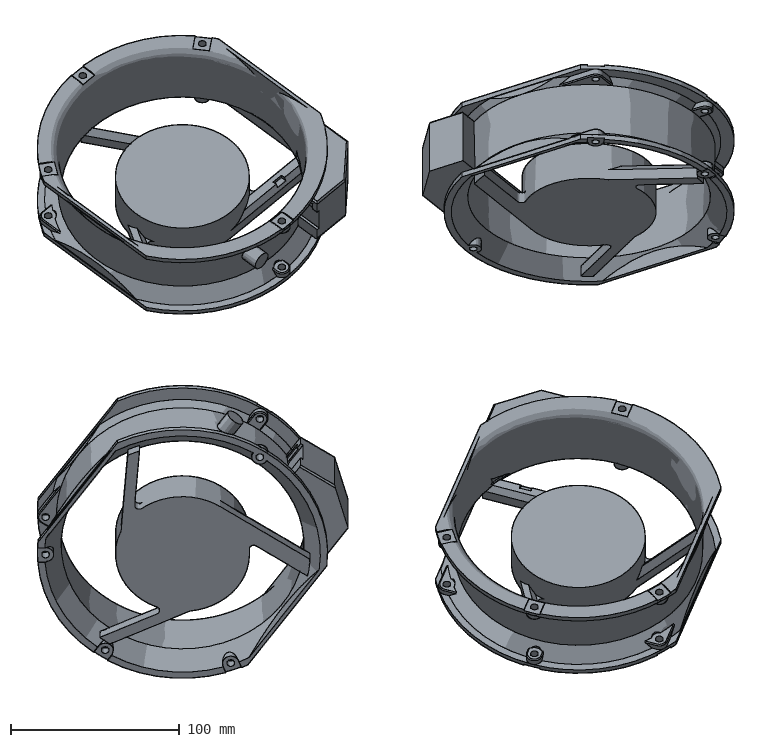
import cadquery as cq
import math

FLANGE_RADIUS = 86.0
WIDTH_Y = 150.5
HEIGHT = 51.0
FLANGE_THICKNESS = 3.1
TUBE_HALF_WIDTH = 74.8
BORE_HALF_WIDTH = 73.0

LOWER_FLARE_RADIUS = 81.7
TUBE_BOTTOM_RADIUS = 73.8
TUBE_BOTTOM_Z = 11.4
TUBE_TOP_RADIUS = TUBE_HALF_WIDTH
TUBE_TOP_Z = 43.9
UPPER_FLARE_RADIUS = 78.1

OUTLET_RADIUS = 81.7
THROAT_BOTTOM_RADIUS = 71.9
THROAT_BOTTOM_Z = 10.5
THROAT_TOP_RADIUS = 73.5
THROAT_TOP_Z = 44.5
INLET_RADIUS = 80.2

BOLT_CIRCLE_RADIUS = 81.2
BOLT_ANGLES = (0.0, 125.0, 180.0, 235.0)
BOLT_HOLE_DIAMETER = 4.5
BOSS_RADIUS = FLANGE_RADIUS - BOLT_CIRCLE_RADIUS
BOSS_HEIGHT = 7.2
BOSS_EDGE = 0.7
BOSS_REACH = 41.3
SEAT_INNER_RADIUS = 76.4
SEAT_WIDTH = 10.0
RIM_OVERRUN = 1.7
SEAT_DEPTH = 0.9

HUB_RADIUS = 39.7
HUB_HEIGHT = 24.6
HUB_EDGE_WIDTH = 1.7
HUB_EDGE_DROP = 0.5
SPOKE_HEIGHT = 11.2
SPOKE_SIDE_HEIGHT = 6.9
SPOKE_END_RADIUS = 75.7
SPOKE_FOOT_RADIUS = 2.5
CABLE_SPOKE_INNER = 29.2
CABLE_SPOKE_SLOPE = 2.4
THIN_SPOKE_INNER = 30.8
THIN_SPOKE_OUTER = 37.5
THIN_SPOKE_ANGLES = (120.0, 240.0)
CLIP_SIZE = (4.0, 7.0, 2.0)
CLIP_CENTER = (36.8, 45.0)

WIRE_X_MIN = 31.6
WIRE_X_MAX = 43.0
WIRE_BOTTOM_Z = 11.7
WIRE_TOP_Z = 16.5
WIRE_RECESS_RADIUS = 73.0

BOX_X_MIN = 41.3
BOX_X_MAX = 84.3
BOX_Y_MIN = 27.2
BOX_CORNER_X = 64.7
BOX_CORNER_Y = 51.6
BOX_Y_MAX = 74.6
BOX_BOTTOM_Z = 11.4
BOX_TOP_Z = 45.4
BOX_EDGE = 1.0
BAND_BOTTOM_Z = 20.6
BAND_TOP_Z = 36.8
BAND_DEPTH = 1.7
LATCH_X_MAX = 80.3
LATCH_TOP_Z = 41.5
LATCH_DEPTH = 0.9
GLAND_RADIUS = 5.5
GLAND_Z = 28.7
GLAND_Y = -17.7
GLAND_X_MIN = 69.7
GLAND_X_MAX = 81.4


def box_between(x0, x1, y0, y1, z0, z1):
    return cq.Workplane("XY").box(x1 - x0, y1 - y0, z1 - z0, centered=False).translate((x0, y0, z0))


def slab(half_width):
    """Material limited to |y| <= half_width over the full frame."""
    return box_between(-FLANGE_RADIUS, FLANGE_RADIUS, -half_width, half_width, 0, HEIGHT)


def disc(radius, z0, z1, x=0.0, y=0.0):
    return cq.Workplane("XY", origin=(x, y, z0)).circle(radius).extrude(z1 - z0)


def frame_outside():
    """Tube with its flares, between two flanges cut by parallel flats."""
    upper_flange_z = HEIGHT - FLANGE_THICKNESS
    tube = (
        cq.Workplane("XZ")
        .moveTo(0, 0)
        .lineTo(LOWER_FLARE_RADIUS, 0)
        .lineTo(LOWER_FLARE_RADIUS, FLANGE_THICKNESS)
        .lineTo(TUBE_BOTTOM_RADIUS, TUBE_BOTTOM_Z)
        .lineTo(TUBE_TOP_RADIUS, TUBE_TOP_Z)
        .lineTo(UPPER_FLARE_RADIUS, upper_flange_z)
        .lineTo(UPPER_FLARE_RADIUS, HEIGHT)
        .lineTo(0, HEIGHT)
        .close()
        .revolve(360, (0, 0, 0), (0, 1, 0))
        .intersect(slab(TUBE_HALF_WIDTH))
    )
    flanges = disc(FLANGE_RADIUS, 0, FLANGE_THICKNESS).union(disc(FLANGE_RADIUS, upper_flange_z, HEIGHT))
    return tube.union(flanges.intersect(slab(WIDTH_Y / 2)))


def bore():
    """Air passage: conical outlet below, rounded bell inlet above."""
    inlet_width = INLET_RADIUS - THROAT_TOP_RADIUS
    inlet_height = HEIGHT - THROAT_TOP_Z
    diagonal = math.sqrt(0.5)
    inlet_middle = (INLET_RADIUS - inlet_width * diagonal, THROAT_TOP_Z + inlet_height * diagonal)
    return (
        cq.Workplane("XZ")
        .moveTo(0, 0)
        .lineTo(OUTLET_RADIUS, 0)
        .lineTo(THROAT_BOTTOM_RADIUS, THROAT_BOTTOM_Z)
        .lineTo(THROAT_TOP_RADIUS, THROAT_TOP_Z)
        .threePointArc(inlet_middle, (INLET_RADIUS, HEIGHT))
        .lineTo(0, HEIGHT)
        .close()
        .revolve(360, (0, 0, 0), (0, 1, 0))
        .intersect(slab(BORE_HALF_WIDTH))
    )


def bolt_center(angle):
    radians = math.radians(angle)
    return BOLT_CIRCLE_RADIUS * math.cos(radians), BOLT_CIRCLE_RADIUS * math.sin(radians)


def boss_wing(angle, z0, z1):
    """Boss whose sides run parallel to X and Y until they meet the tube."""
    x, y = bolt_center(angle)
    toward_x = -math.copysign(BOSS_REACH, x)
    across = BOSS_RADIUS * 2
    wing = disc(BOSS_RADIUS, z0, z1, x, y)
    along_x = cq.Workplane("XY").box(BOSS_REACH, across, z1 - z0, centered=(True, True, False))
    wing = wing.union(along_x.translate((x + toward_x / 2, y, z0)))
    if abs(y) > BOSS_RADIUS:
        toward_y = -math.copysign(BOSS_REACH, y)
        along_y = cq.Workplane("XY").box(across, BOSS_REACH, z1 - z0, centered=(True, True, False))
        wing = wing.union(along_y.translate((x, y + toward_y / 2, z0)))
        corner = cq.Workplane("XY").box(BOSS_REACH, BOSS_REACH, z1 - z0, centered=(True, True, False))
        wing = wing.union(corner.translate((x + toward_x / 2, y + toward_y / 2, z0)))
    return wing


def seat(angle, z0, depth):
    """Square pad area around a bolt hole, open to the flange rim."""
    length = FLANGE_RADIUS - SEAT_INNER_RADIUS + RIM_OVERRUN
    pad = cq.Workplane("XY").box(length, SEAT_WIDTH, depth, centered=(False, True, False))
    return pad.translate((SEAT_INNER_RADIUS, 0, z0)).rotate((0, 0, 0), (0, 0, 1), angle)


def terminal_box():
    """Five-sided box with a recessed band and a latch pocket."""
    body = (
        cq.Workplane("XY", origin=(0, 0, BOX_BOTTOM_Z))
        .moveTo(BOX_X_MIN, BOX_Y_MIN)
        .lineTo(BOX_X_MAX, BOX_Y_MIN)
        .lineTo(BOX_X_MAX, BOX_CORNER_Y)
        .lineTo(BOX_CORNER_X, BOX_Y_MAX)
        .lineTo(BOX_X_MIN, BOX_Y_MAX)
        .close()
        .extrude(BOX_TOP_Z - BOX_BOTTOM_Z)
        .faces(">Z")
        .edges()
        .chamfer(BOX_EDGE)
        .faces(">X")
        .edges("<Z")
        .chamfer(BOX_EDGE)
    )
    band = box_between(BOX_X_MIN, BOX_X_MAX, BOX_Y_MIN, BOX_Y_MIN + BAND_DEPTH, BAND_BOTTOM_Z, BAND_TOP_Z)
    latch = box_between(BOX_X_MIN, LATCH_X_MAX, BOX_Y_MIN, BOX_Y_MIN + LATCH_DEPTH, BAND_TOP_Z, LATCH_TOP_Z)
    return body.cut(band).cut(latch)


def cable_gland():
    """Round stub along X that grows out of the tube wall."""
    return (
        cq.Workplane("YZ", origin=(GLAND_X_MIN, GLAND_Y, GLAND_Z))
        .circle(GLAND_RADIUS)
        .extrude(GLAND_X_MAX - GLAND_X_MIN)
    )


def wire_recess():
    wedge = (
        cq.Workplane("XZ")
        .polyline([(WIRE_X_MIN, WIRE_BOTTOM_Z), (WIRE_X_MAX, WIRE_BOTTOM_Z), (WIRE_X_MIN, WIRE_TOP_Z)])
        .close()
        .extrude(-WIDTH_Y / 2)
    )
    return wedge.intersect(disc(WIRE_RECESS_RADIUS, 0, HEIGHT))


def spoke(inner, outer, crown):
    """Spoke along +Y, tangent-wise to the hub; crown lists the x values of its raised top."""
    section = [(inner, 0), (outer, 0), (outer, SPOKE_SIDE_HEIGHT)]
    section += [(x, SPOKE_HEIGHT) for x in crown]
    section += [(inner, SPOKE_SIDE_HEIGHT)]
    return cq.Workplane("XZ").polyline(section).close().extrude(-SPOKE_END_RADIUS)


def spoke_foot(inner):
    """Rounded web in the corner between the hub and a spoke's inner side."""
    arc_x = inner - SPOKE_FOOT_RADIUS
    arc_y = math.sqrt((HUB_RADIUS + SPOKE_FOOT_RADIUS) ** 2 - arc_x**2)
    hub_share = HUB_RADIUS / (HUB_RADIUS + SPOKE_FOOT_RADIUS)
    web = (
        cq.Workplane("XY")
        .moveTo(arc_x * hub_share, arc_y * hub_share)
        .lineTo(arc_x, arc_y)
        .lineTo(inner, arc_y)
        .lineTo(inner, 0)
        .close()
        .extrude(SPOKE_SIDE_HEIGHT)
    )
    return web.cut(disc(SPOKE_FOOT_RADIUS, 0, SPOKE_SIDE_HEIGHT, arc_x, arc_y))


def hub_and_spokes():
    cable_crown = (HUB_RADIUS - CABLE_SPOKE_SLOPE, CABLE_SPOKE_INNER + CABLE_SPOKE_SLOPE)
    cable_spoke = spoke(CABLE_SPOKE_INNER, HUB_RADIUS, cable_crown)
    clip = cq.Workplane("XY").box(*CLIP_SIZE, centered=(True, True, False))
    clip = clip.translate((*CLIP_CENTER, SPOKE_HEIGHT - CLIP_SIZE[2]))
    thin_crown = ((THIN_SPOKE_INNER + THIN_SPOKE_OUTER) / 2,)
    thin_spoke = spoke(THIN_SPOKE_INNER, THIN_SPOKE_OUTER, thin_crown)
    thin_spoke = thin_spoke.union(spoke_foot(THIN_SPOKE_INNER))

    hub = disc(HUB_RADIUS, 0, HUB_HEIGHT).faces(">Z").edges().chamfer(HUB_EDGE_DROP, HUB_EDGE_WIDTH)
    center = hub.union(cable_spoke.cut(clip)).union(spoke_foot(CABLE_SPOKE_INNER))
    for angle in THIN_SPOKE_ANGLES:
        center = center.union(thin_spoke.rotate((0, 0, 0), (0, 0, 1), angle))
    return center.intersect(disc(SPOKE_END_RADIUS, 0, HUB_HEIGHT)).intersect(frame_outside())


outline = disc(FLANGE_RADIUS, 0, HEIGHT).intersect(slab(WIDTH_Y / 2))
frame = frame_outside().union(terminal_box()).union(cable_gland())

for bolt_angle in BOLT_ANGLES:
    lower_boss = boss_wing(bolt_angle, 0, BOSS_HEIGHT).faces(">Z").edges().chamfer(BOSS_EDGE)
    upper_boss = boss_wing(bolt_angle, HEIGHT - BOSS_HEIGHT, HEIGHT).faces("<Z").edges().chamfer(BOSS_EDGE)
    frame = frame.union(lower_boss).union(upper_boss)
frame = frame.cut(bore()).cut(wire_recess())

for bolt_angle in BOLT_ANGLES:
    bolt_x, bolt_y = bolt_center(bolt_angle)
    upper_pad = seat(bolt_angle, HEIGHT - FLANGE_THICKNESS, FLANGE_THICKNESS)
    frame = frame.union(upper_pad.intersect(outline))
    frame = frame.union(disc(BOSS_RADIUS, 0, BOSS_HEIGHT - BOSS_EDGE, bolt_x, bolt_y))
    frame = frame.cut(disc(BOSS_RADIUS, BOSS_HEIGHT, TUBE_BOTTOM_Z, bolt_x, bolt_y))
    frame = frame.cut(seat(bolt_angle, HEIGHT - SEAT_DEPTH, SEAT_DEPTH))
    if bolt_x < 0:
        frame = frame.cut(seat(bolt_angle, 0, SEAT_DEPTH))
    frame = frame.cut(disc(BOLT_HOLE_DIAMETER / 2, 0, HEIGHT, bolt_x, bolt_y))

result = frame.union(hub_and_spokes())